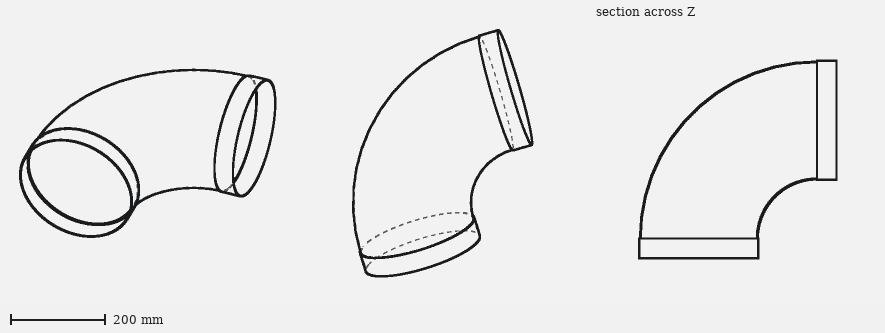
import cadquery as cq

overall_size = 419.0
collar_diameter = 254.0
collar_bore_diameter = 250.0
pipe_diameter = 250.5
pipe_bore_diameter = 246.0
bend_radius = 250.0
bend_angle = 90.0

collar_length = overall_size - collar_diameter / 2 - bend_radius

front_end = cq.Plane(origin=(-bend_radius, 0, 0), xDir=(1, 0, 0), normal=(0, -1, 0))
side_end = cq.Plane(origin=(0, bend_radius, 0), xDir=(0, 1, 0), normal=(1, 0, 0))


def make_bend():
    """Thin-walled quarter torus from the front end to the side end."""
    return (
        cq.Workplane(front_end)
        .circle(pipe_diameter / 2)
        .circle(pipe_bore_diameter / 2)
        .revolve(bend_angle, (bend_radius, 4, 0), (bend_radius, -4, 0))
    )


def make_collar(end_plane):
    """Straight ring, slightly wider than the pipe, projecting from one end."""
    return (
        cq.Workplane(end_plane)
        .circle(collar_diameter / 2)
        .circle(collar_bore_diameter / 2)
        .extrude(collar_length)
    )


result = make_bend()
for end_plane in (front_end, side_end):
    result = result.union(make_collar(end_plane))